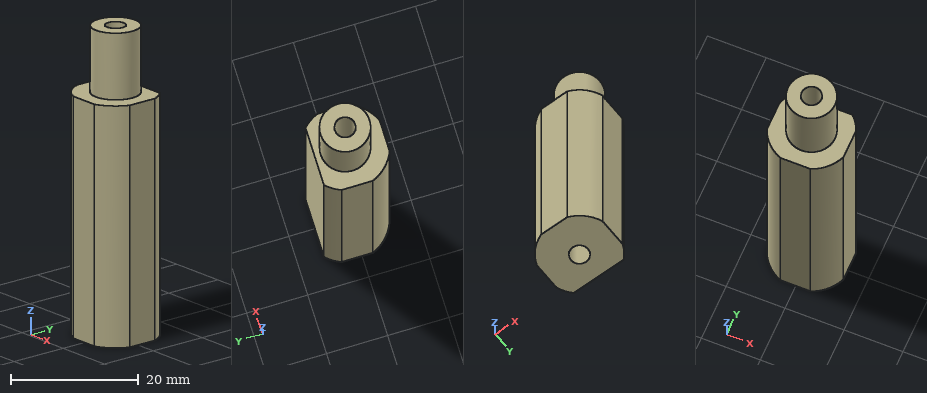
import cadquery as cq

total_height = 51.0
body_height = 40.0
body_diameter = 13.95

width_across_side_flats = 13.0
depth_across_flats = 11.5

stud_diameter = 8.0
bore_diameter = 3.3

stud_height = total_height - body_height
front_flat_distance = width_across_side_flats / 2
back_flat_distance = depth_across_flats - front_flat_distance
flats_center_y = (back_flat_distance - front_flat_distance) / 2

round_bar = cq.Workplane("XY").circle(body_diameter / 2).extrude(body_height)
flats_envelope = (
    cq.Workplane("XY")
    .center(0, flats_center_y)
    .rect(width_across_side_flats, depth_across_flats)
    .extrude(body_height)
)
body = round_bar.intersect(flats_envelope)

stud = (
    cq.Workplane("XY")
    .workplane(offset=body_height)
    .circle(stud_diameter / 2)
    .extrude(stud_height)
)

bore = cq.Workplane("XY").circle(bore_diameter / 2).extrude(total_height)

result = body.union(stud).cut(bore)